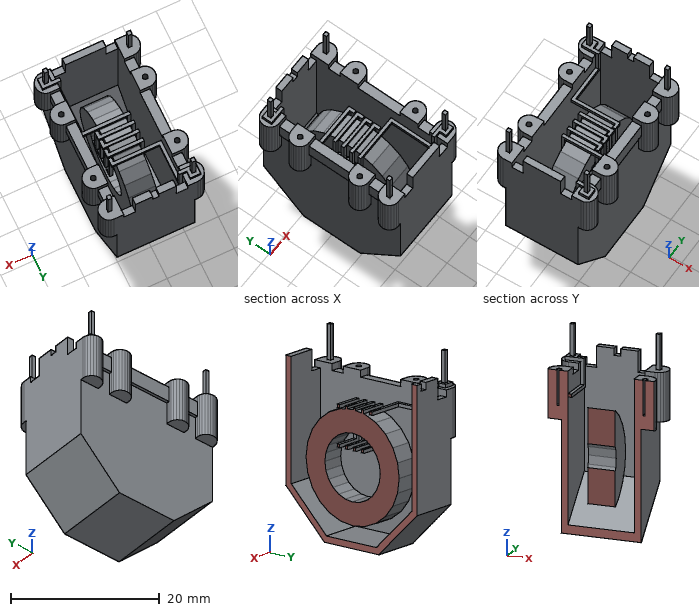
import cadquery as cq
import math


round_sides = 24

half_length = 23.0 / 2
half_width = 5.8
wall = 1.0
floor_chamfer = 6.75
rim_half_width = 6.25
rim_bottom = 19.55
rim_top = 22.0
cavity_half_width = half_width - wall
cavity_half_length = half_length - wall
cavity_chamfer = floor_chamfer - wall * (2 - math.sqrt(2))

tab_width = 6.05
tab_top = 25.0
tab_slot_width = 0.95
tab_slot_depth = 1.0

boss_radius = 1.5
boss_bottom = 16.0
boss_top = 23.0
boss_x = rim_half_width
corner_boss_y = half_length - boss_radius
inner_boss_y = 5.0
pilot_diameter = 0.75
socket_depth = 5.0

pin_size = 0.6
pin_top = 28.0
pin_bottom = boss_top - socket_depth

core_radius = 8.18
core_hole_radius = 4.8
core_width = 4.0
core_x = 0.05
core_y = 0.2
core_z = 11.4

wire = 0.5
turns = 4
pitch = 1.4
coil_reach = 2.5
coil_left = core_x - coil_reach
coil_right = core_x + coil_reach
coil_top_z = 19.55
coil_bottom_z = 14.0
first_bar_y = 3.33
last_bar_y = first_bar_y - turns * pitch
wall_run_x = cavity_half_width - wire / 2
collar_size = pin_size + 2 * wire
lead_y = corner_boss_y - (pin_size + wire) / 2
lead_z = boss_top + wire / 2

sides = (-1, 1)
corners = [(sx * boss_x, sy * corner_boss_y) for sx in sides for sy in sides]
inner_bosses = [(sx * boss_x, sy * inner_boss_y) for sx in sides for sy in sides]


def block(x_range, y_range, z_range):
    """Box between the given pairs of limits."""
    low, high = zip(x_range, y_range, z_range)
    size = [b - a for a, b in zip(low, high)]
    return cq.Workplane("XY").box(*size, centered=False).translate(low)


def trough(half_x, half_y, bottom, top, chamfer):
    """Prism along X whose two lower corners are cut at 45 degrees."""
    profile = [
        (-half_y, top),
        (-half_y, bottom + chamfer),
        (-half_y + chamfer, bottom),
        (half_y - chamfer, bottom),
        (half_y, bottom + chamfer),
        (half_y, top),
    ]
    return cq.Workplane("YZ").polyline(profile).close().extrude(half_x, both=True)


def boss(x, y):
    """Round-nosed boss reaching inwards to the cavity wall."""
    height = boss_top - boss_bottom
    base = cq.Workplane("XY", origin=(x, y, boss_bottom))
    nose = base.polygon(round_sides, 2 * boss_radius).extrude(height)
    inner_x = math.copysign(cavity_half_width, x)
    web = block(sorted((x, inner_x)), (y - boss_radius, y + boss_radius), (boss_bottom, boss_top))
    return nose.union(web)


def end_tab(side):
    """Tab that raises the middle of one end wall."""
    y_range = sorted((side * half_length, side * cavity_half_length))
    return block((-tab_width / 2, tab_width / 2), y_range, (rim_top, tab_top))


def make_housing():
    shell = trough(half_width, half_length, 0, rim_top, floor_chamfer)
    rim = block(
        (-rim_half_width, rim_half_width), (-half_length, half_length), (rim_bottom, rim_top)
    )
    cavity = trough(cavity_half_width, cavity_half_length, wall, tab_top, cavity_chamfer)
    body = shell.union(rim)
    for x, y in corners + inner_bosses:
        body = body.union(boss(x, y))
    body = body.cut(cavity)
    for side in sides:
        body = body.union(end_tab(side))

    tab_slot = block(
        (-tab_slot_width / 2, tab_slot_width / 2),
        (cavity_half_length, half_length),
        (tab_top - tab_slot_depth, tab_top),
    )
    boss_tops = cq.Workplane("XY", origin=(0, 0, boss_top))
    pilot_outlines = boss_tops.pushPoints(inner_bosses).polygon(round_sides, pilot_diameter)
    pilots = pilot_outlines.extrude(-socket_depth)
    sockets = boss_tops.pushPoints(corners).rect(pin_size, pin_size).extrude(-socket_depth)
    return body.cut(tab_slot).cut(pilots).cut(sockets)


def make_pin(x, y):
    return (
        cq.Workplane("XY", origin=(x, y, pin_bottom))
        .rect(pin_size, pin_size)
        .extrude(pin_top - pin_bottom)
    )


def wire_path():
    """Centre line of the wire, from the pin at -X, +Y to the pin at +X, -Y."""
    path = [
        (-boss_x, lead_y, lead_z),
        (-wall_run_x, lead_y, lead_z),
        (-wall_run_x, lead_y, coil_top_z),
        (-wall_run_x, first_bar_y, coil_top_z),
    ]
    for turn in range(turns):
        bar_y = first_bar_y - turn * pitch
        drop_y = bar_y - pitch / 2
        next_y = bar_y - pitch
        path += [
            (coil_right, bar_y, coil_top_z),
            (coil_right, drop_y, coil_top_z),
            (coil_right, drop_y, coil_bottom_z),
            (coil_right, next_y, coil_bottom_z),
            (coil_left, next_y, coil_bottom_z),
            (coil_left, next_y, coil_top_z),
        ]
    path += [
        (wall_run_x, last_bar_y, coil_top_z),
        (wall_run_x, -lead_y, coil_top_z),
        (wall_run_x, -lead_y, lead_z),
        (boss_x, -lead_y, lead_z),
    ]
    return path


def wire_run(start, end):
    """Straight stretch of square wire, with square ends half a wire past both points."""
    limits = [(min(a, b) - wire / 2, max(a, b) + wire / 2) for a, b in zip(start, end)]
    return block(*limits)


def wire_collar(x, y):
    """Square loop of wire around a pin, lying on top of its boss."""
    return (
        cq.Workplane("XY", origin=(x, y, boss_top))
        .rect(collar_size, collar_size)
        .rect(pin_size, pin_size)
        .extrude(wire)
    )


def make_wound_core():
    """Ring core joined with its winding, which is sunk into the top of the ring."""
    core = (
        cq.Workplane("YZ", origin=(core_x, core_y, core_z))
        .polygon(round_sides, 2 * core_radius)
        .polygon(round_sides, 2 * core_hole_radius)
        .extrude(core_width / 2, both=True)
    )
    path = wire_path()
    for start, end in zip(path, path[1:]):
        core = core.union(wire_run(start, end))
    for x, y in ((-boss_x, corner_boss_y), (boss_x, -corner_boss_y)):
        core = core.union(wire_collar(x, y))
    return core


housing = make_housing()
wound_core = make_wound_core()
pins = [make_pin(x, y) for x, y in corners]

result = cq.Compound.makeCompound(
    [housing.val(), wound_core.val(), *[pin.val() for pin in pins]]
)